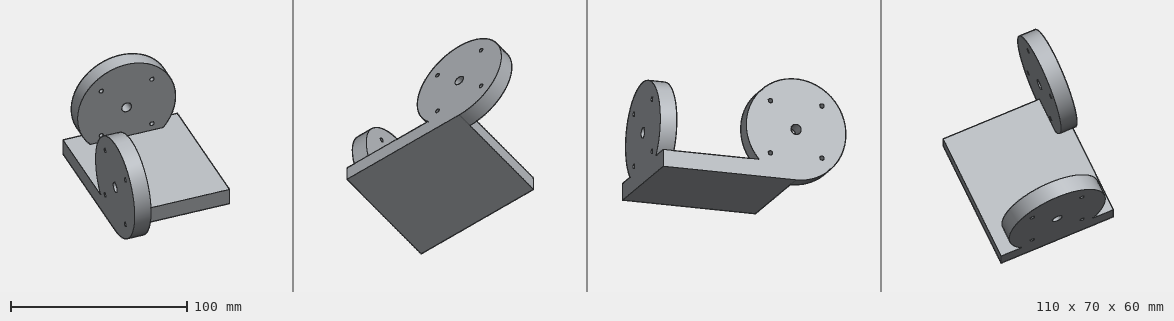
import cadquery as cq

plate_length = 80.0
plate_width = 70.0
thickness = 10.0

disc_radius = 30.0
shaft_hole_diameter = 6.0
screw_hole_diameter = 2.53
screw_spacing = 31.0


def mounting_disc(plane):
    """Disc extruded along the plane normal, with a shaft hole and four screw holes."""
    disc = cq.Workplane(plane).circle(disc_radius).extrude(thickness)
    holes = cq.Workplane(plane).circle(shaft_hole_diameter / 2).extrude(thickness)
    screws = (
        cq.Workplane(plane)
        .rect(screw_spacing, screw_spacing, forConstruction=True)
        .vertices()
        .circle(screw_hole_diameter / 2)
        .extrude(thickness)
    )
    return disc, holes.add(screws).combine()


def build_bracket():
    body = cq.Workplane("XY").box(plate_length, plate_width, thickness, centered=False)

    side_plane = cq.Plane(origin=(plate_length, 0, disc_radius), xDir=(1, 0, 0), normal=(0, 1, 0))
    end_plane = cq.Plane(origin=(0, plate_width / 2, disc_radius), xDir=(0, 1, 0), normal=(1, 0, 0))

    for plane in (side_plane, end_plane):
        disc, holes = mounting_disc(plane)
        body = body.union(disc).cut(holes)
    return body


result = build_bracket()